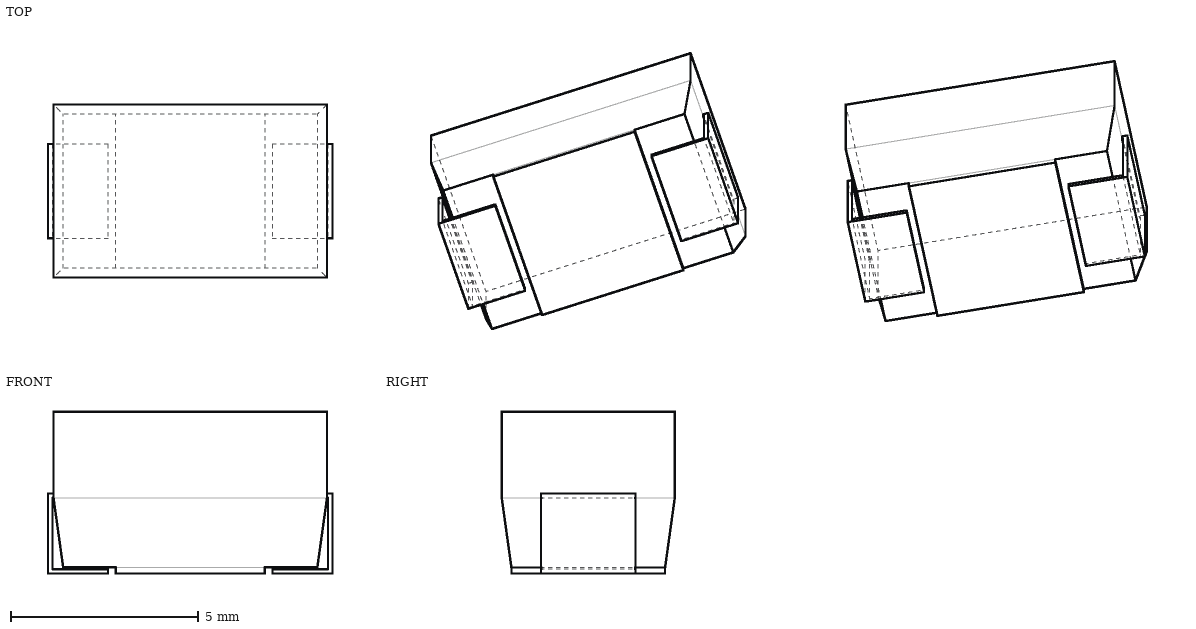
import cadquery as cq

overall_length = 7.59
overall_height = 4.32

housing_length = 7.3
housing_width = 4.62
parting_height = 2.02
taper_inset = 0.26
pad_length = 3.98
pad_height = 0.17

lead_thickness = 0.12
lead_width = 2.52
lead_height = 2.14
foot_length = 1.6

lead_gap = (overall_length - housing_length) / 2 - lead_thickness


def make_housing():
    """Block with a tapered lower half and a flat standoff pad underneath."""
    bottom_length = housing_length - 2 * taper_inset
    bottom_width = housing_width - 2 * taper_inset
    upper = (
        cq.Workplane("XY", origin=(0, 0, parting_height))
        .rect(housing_length, housing_width)
        .extrude(overall_height - parting_height)
    )
    lower = (
        cq.Workplane("XY", origin=(0, 0, pad_height))
        .rect(bottom_length, bottom_width)
        .workplane(offset=parting_height - pad_height)
        .rect(housing_length, housing_width)
        .loft(ruled=True)
    )
    pad = cq.Workplane("XY").rect(pad_length, bottom_width).extrude(pad_height)
    return upper.union(lower).union(pad)


def make_lead(side):
    """L-shaped lead on the +X (side = 1) or -X (side = -1) end of the housing."""
    outer = overall_length / 2
    inner = outer - lead_thickness
    profile = [
        (outer, 0),
        (outer, lead_height),
        (inner - lead_gap, lead_height),
        (inner - lead_gap, parting_height),
        (inner, parting_height),
        (inner, lead_thickness),
        (outer - foot_length, lead_thickness),
        (outer - foot_length, 0),
    ]
    return (
        cq.Workplane("XZ")
        .polyline([(side * x, z) for x, z in profile])
        .close()
        .extrude(lead_width / 2, both=True)
    )


housing = make_housing()
leads = [make_lead(side) for side in (-1, 1)]

result = cq.Compound.makeCompound([housing.solids().val(), *[lead.val() for lead in leads]])